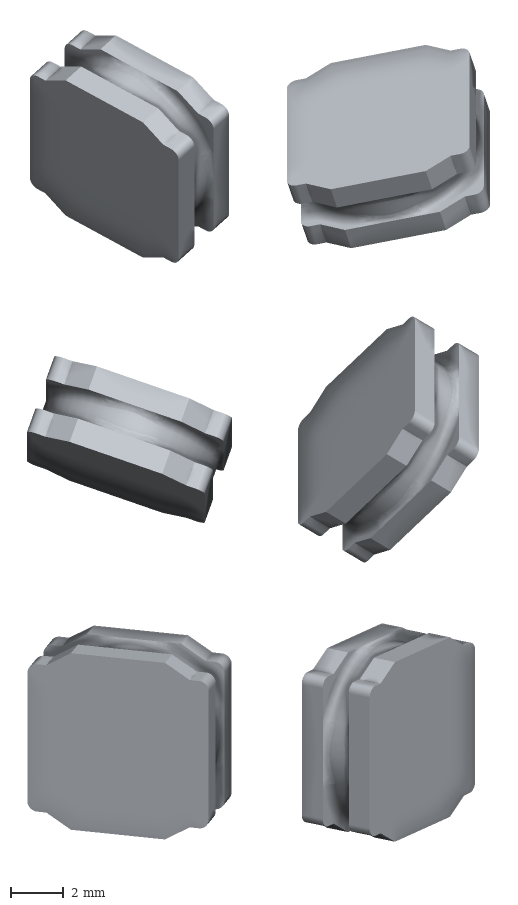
import cadquery as cq

core_side = 7.12
core_depth = 3.09
flange_thickness = 0.955

half_side = core_side / 2
flat_half_width = 1.85
shoulder_half_width = 2.82
shoulder_height = 2.97
corner_radius = 0.37

post_radius = 3.46
post_fillet = 0.35

digit_half_height = 0.91
digit_pitch = 1.34
digit_center_z = 0.24
digit_depth = 0.07
zero_half_width = 0.535
zero_hole_half_width = 0.34
zero_hole_half_height = 0.855

front_y = -core_depth / 2
post_length = core_depth - 2 * flange_thickness


def sketch_plane(y, x=0.0, z=0.0):
    """XZ workplane at depth y; a negative extrusion goes toward +Y."""
    return cq.Workplane("XZ", origin=(x, y, z))


def make_flange(y_front):
    """Square plate with sloped notches that leave a rounded ear at each corner."""
    upper = [
        (half_side, shoulder_height),
        (shoulder_half_width, shoulder_height),
        (flat_half_width, half_side),
        (-flat_half_width, half_side),
        (-shoulder_half_width, shoulder_height),
        (-half_side, shoulder_height),
    ]
    lower = [(-x, -z) for x, z in upper]
    plate = sketch_plane(y_front).polyline(upper + lower).close().extrude(-flange_thickness)
    return plate.edges("|Y and (<X or >X)").fillet(corner_radius)


def make_core():
    """Flanges and post in one solid; the fillet rolls over the flange edge where the face is too narrow."""
    post = sketch_plane(-post_length / 2).circle(post_radius).extrude(-post_length)
    blank = post.union(make_flange(front_y)).union(make_flange(post_length / 2))
    return blank.edges("%CIRCLE").edges(cq.selectors.RadiusNthSelector(-1)).fillet(post_fillet)


def make_three(x):
    """Digit 3 with round ends on both hooks and a short middle bar."""
    outline = (
        sketch_plane(front_y, x, digit_center_z)
        .moveTo(-0.03, digit_half_height)
        .threePointArc((0.3, 0.81), (0.435, 0.51))
        .threePointArc((0.355, 0.23), (0.135, 0.09))
        .threePointArc((0.405, -0.08), (0.52, -0.39))
        .threePointArc((0.37, -0.74), (-0.03, -digit_half_height))
        .threePointArc((-0.37, -0.81), (-0.52, -0.58))
        .threePointArc((-0.48, -0.455), (-0.385, -0.405))
        .threePointArc((-0.3, -0.44), (-0.27, -0.52))
        .lineTo(-0.33, -0.68)
        .threePointArc((-0.24, -0.78), (-0.07, -0.83))
        .threePointArc((0.19, -0.71), (0.305, -0.405))
        .threePointArc((0.22, -0.09), (0.0, 0.02))
        .lineTo(-0.15, 0.035)
        .lineTo(-0.15, 0.115)
        .lineTo(0.0, 0.135)
        .threePointArc((0.18, 0.255), (0.23, 0.51))
        .threePointArc((0.13, 0.76), (-0.07, 0.86))
        .threePointArc((-0.24, 0.82), (-0.33, 0.73))
        .lineTo(-0.33, 0.64)
        .lineTo(-0.27, 0.54)
        .threePointArc((-0.285, 0.46), (-0.355, 0.435))
        .threePointArc((-0.46, 0.46), (-0.5, 0.555))
        .threePointArc((-0.34, 0.82), (-0.03, digit_half_height))
        .close()
    )
    return outline.extrude(-digit_depth)


def make_zero(x):
    """Digit 0: a tall elliptical ring, thin at top and bottom."""
    return (
        sketch_plane(front_y, x, digit_center_z)
        .ellipse(zero_half_width, digit_half_height)
        .ellipse(zero_hole_half_width, zero_hole_half_height)
        .extrude(-digit_depth)
    )


threes = [make_three(x) for x in (-digit_pitch, 0.0)]
zero = make_zero(digit_pitch)
digits = [*threes, zero]

core = make_core()
for digit in digits:
    core = core.cut(digit)

result = cq.Compound.makeCompound([core.solids().val(), *[digit.val() for digit in digits]])